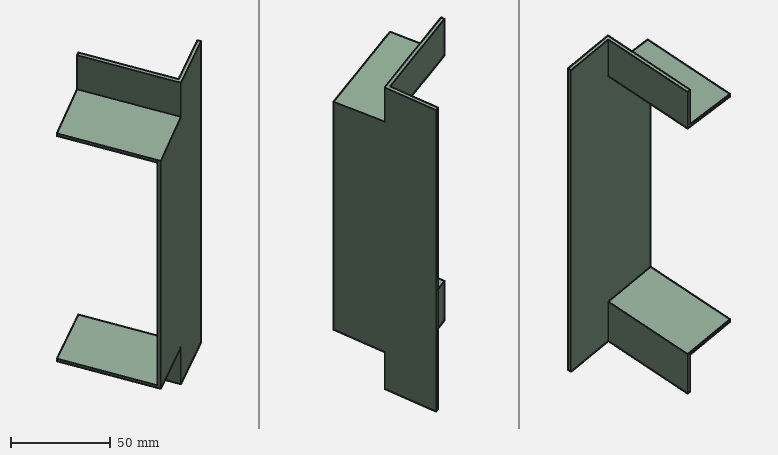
import cadquery as cq

width = 55.5
depth = 60.0
height = 225.0
sheet = 2.0

flange_front = 30.0
lower_shelf_bottom = 27.5
upper_shelf_front = 197.5
upper_shelf_back = 199.5

flange_back = flange_front + sheet
lower_shelf_top = lower_shelf_bottom + sheet
shelf_slope = (upper_shelf_back - upper_shelf_front) / flange_front
upper_inner_front = upper_shelf_front - sheet
upper_inner_back = upper_inner_front + shelf_slope * flange_back


def extrude_profile(points, start_x, length):
    """Extrude a closed Y-Z outline along +X."""
    return cq.Workplane("YZ").workplane(offset=start_x).polyline(points).close().extrude(length)


side_wall = extrude_profile(
    [
        (0, lower_shelf_bottom),
        (flange_front, lower_shelf_bottom),
        (flange_front, 0),
        (depth, 0),
        (depth, height),
        (flange_front, height),
        (flange_front, upper_shelf_back),
        (0, upper_shelf_front),
    ],
    width - sheet,
    sheet,
)

lower_bracket = extrude_profile(
    [
        (0, lower_shelf_bottom),
        (flange_front, lower_shelf_bottom),
        (flange_front, 0),
        (flange_back, 0),
        (flange_back, lower_shelf_top),
        (0, lower_shelf_top),
    ],
    0,
    width,
)

upper_bracket = extrude_profile(
    [
        (0, upper_inner_front),
        (flange_back, upper_inner_back),
        (flange_back, height),
        (flange_front, height),
        (flange_front, upper_shelf_back),
        (0, upper_shelf_front),
    ],
    0,
    width,
)

result = side_wall.union(lower_bracket).union(upper_bracket)